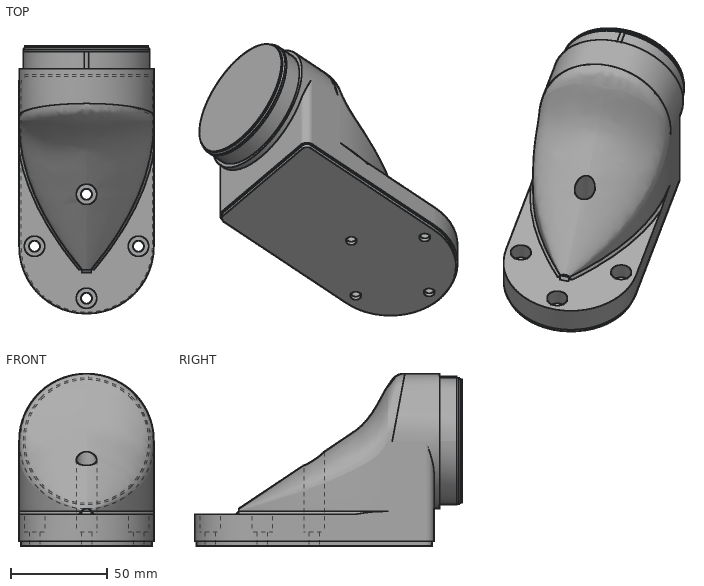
import cadquery as cq
import math

WIDTH = 70.0
HALF = WIDTH / 2
LENGTH = 139.0

GASKET_THICK = 2.5
GASKET_INSET = 1.0
FOOT_TOP = 16.5
BACK_Y = 89.2
BACK_CORNER = 4.2

AXIS_Z = 54.5
BARREL_BACK_Y = 92.2
NECK_RADIUS = 33.0
NECK_BACK_Y = 100.9
KEY_RADIUS = 1.3
KEY_RISE = 0.7

CAP_BACK_Y = LENGTH - HALF
CAP_LIP_RADIUS = 32.1
CAP_LIP_LENGTH = 1.0
CAP_BEVEL_LENGTH = 1.0

SHOULDER_START_Y = 74.1
SHOULDER_SIDE_Y = 67.5
SHOULDER_END_Y = 65.3
SHOULDER_DROP = 6.4
SHOULDER_POWER = 2.5
SHOULDER_STATIONS = 5

TIP_Y = -12.1
TIP_HALF_WIDTH = 2.4
TIP_CREST = 19.5
TIP_WALL_TOP = 18.3
WALL_POWER = 0.6
CREST_SLOPE = 2 / 3
SWEEP_START_Y = 47.3
SNOUT_STATIONS = 11
FLARE = 1.5
BEZIER_QUARTER = 4 / 3 * (math.sqrt(2) - 1)
TIP_CROWN_HANDLE = 0.1

SCREW_COUNT = 4
SCREW_CIRCLE = 27.0
SCREW_RADIUS = 2.8
HEAD_RADIUS = 5.3
HEAD_SEAT_Z = 7.4


def foot_outline(inset, bottom, top):
    """Foot shape between two heights: round front end, square back with rounded corners."""
    half = HALF - inset
    back = BACK_Y - inset
    return (
        cq.Workplane("XY", origin=(0, 0, bottom))
        .moveTo(-half, 0)
        .threePointArc((0, -half), (half, 0))
        .lineTo(half, back)
        .lineTo(-half, back)
        .close()
        .extrude(top - bottom)
        .edges("|Z and >Y")
        .fillet(BACK_CORNER - inset)
    )


def along_y(radius, y_start, y_end, z=AXIS_Z):
    """Cylinder parallel to Y."""
    return cq.Workplane("XZ", origin=(0, y_start, z)).circle(radius).extrude(y_start - y_end)


def stations(y_start, y_end, count):
    """Evenly spaced Y positions, ends included."""
    return [y_start + (y_end - y_start) * step / (count - 1) for step in range(count)]


def shoulder_crest(y):
    """Crest height over the shoulder, level where it leaves the barrel."""
    run = (SHOULDER_START_Y - y) / (SHOULDER_START_Y - SHOULDER_END_Y)
    return AXIS_Z + HALF - SHOULDER_DROP * run**SHOULDER_POWER


def snout_crest(y):
    """Straight slope up from the tip, with a parabolic sweep that meets the shoulder."""
    sweep_rise = shoulder_crest(SHOULDER_END_Y) - TIP_CREST - CREST_SLOPE * (SHOULDER_END_Y - TIP_Y)
    sweep = max(0.0, y - SWEEP_START_Y) / (SHOULDER_END_Y - SWEEP_START_Y)
    return TIP_CREST + CREST_SLOPE * (y - TIP_Y) + sweep_rise * sweep**2


def arch_half(side, crown, crown_handle):
    """Bezier quarter from the side up to a level crown; a shorter crown handle makes it more pointed."""
    pull = cq.Vector(0, crown.y - side.y, crown.z - side.z) * BEZIER_QUARTER
    reach = cq.Vector(side.x - crown.x, 0, 0) * crown_handle
    return cq.Edge.makeBezier([side, side + pull, crown + reach, crown])


def arched_wire(corners, crown, crown_handle):
    """Closed section: straight runs through the corners, right to left, under an arch to the crown."""
    edges = [cq.Edge.makeLine(start, end) for start, end in zip(corners, corners[1:])]
    edges += [arch_half(side, crown, crown_handle) for side in (corners[-1], corners[0])]
    return cq.Wire.assembleEdges(edges)


def shoulder_section(side_y, crown_y):
    """Half ellipse standing on the level of the barrel axis, its crown leaning back."""
    corners = [cq.Vector(HALF, side_y, AXIS_Z), cq.Vector(-HALF, side_y, AXIS_Z)]
    return arched_wire(corners, cq.Vector(0, crown_y, shoulder_crest(crown_y)), BEZIER_QUARTER)


def snout_section(y):
    """Flared foot, upright walls and an arch; parabolic in plan, lower and more pointed toward the tip."""
    run = (SHOULDER_END_Y - y) / (SHOULDER_END_Y - TIP_Y)
    half = HALF - (HALF - TIP_HALF_WIDTH) * run**2
    wall = AXIS_Z + (TIP_WALL_TOP - AXIS_Z) * run**WALL_POWER
    handle = BEZIER_QUARTER + (TIP_CROWN_HANDLE - BEZIER_QUARTER) * math.sqrt(run)
    right_side = [(half, wall), (half, FOOT_TOP + FLARE), (half + FLARE, FOOT_TOP)]
    left_side = [(-x, z) for x, z in reversed(right_side)]
    corners = [cq.Vector(x, y, z) for x, z in right_side + left_side]
    return arched_wire(corners, cq.Vector(0, y, snout_crest(y)), handle)


def make_shoulder():
    """Loft from the barrel's slanted front edge to the upright joint with the snout."""
    sides = stations(SHOULDER_SIDE_Y, SHOULDER_END_Y, SHOULDER_STATIONS)
    crowns = stations(SHOULDER_START_Y, SHOULDER_END_Y, SHOULDER_STATIONS)
    sections = [shoulder_section(side, crown) for side, crown in zip(sides, crowns)]
    return cq.Workplane(obj=cq.Solid.makeLoft(sections))


def make_snout():
    """Smooth loft to the tip, its flare trimmed to the sides of the foot."""
    sections = [snout_section(y) for y in stations(SHOULDER_END_Y, TIP_Y, SNOUT_STATIONS)]
    trim = cq.Workplane("XY").box(WIDTH, 2 * LENGTH, 2 * LENGTH)
    return cq.Workplane(obj=cq.Solid.makeLoft(sections)).intersect(trim)


def tip_flare():
    """Small wedge that carries the flare round the blunt tip."""
    return (
        cq.Workplane("YZ")
        .moveTo(TIP_Y, FOOT_TOP)
        .lineTo(TIP_Y - FLARE, FOOT_TOP)
        .lineTo(TIP_Y, FOOT_TOP + FLARE)
        .close()
        .extrude(TIP_HALF_WIDTH, both=True)
    )


def screw_cylinders(radius, bottom, height):
    """One upright cylinder at each screw position."""
    return (
        cq.Workplane("XY", origin=(0, 0, bottom))
        .polarArray(SCREW_CIRCLE, 0, 360, SCREW_COUNT)
        .circle(radius)
        .extrude(height)
    )


def make_pedestal():
    """Full-width block that carries the barrel, up to its axis."""
    depth = BACK_Y - SHOULDER_END_Y
    block = cq.Workplane("XY").box(WIDTH, depth, AXIS_Z, centered=(True, False, False))
    return foot_outline(0, GASKET_THICK, AXIS_Z).intersect(block.translate((0, SHOULDER_END_Y, 0)))


def make_barrel():
    """Barrel above and behind the pedestal, its upper half slanted back at the shoulder."""
    barrel = along_y(HALF, SHOULDER_SIDE_Y, BARREL_BACK_Y)
    front_waste = (
        cq.Workplane("YZ")
        .moveTo(SHOULDER_SIDE_Y, AXIS_Z)
        .lineTo(SHOULDER_START_Y, AXIS_Z + HALF)
        .lineTo(SHOULDER_START_Y, AXIS_Z + WIDTH)
        .lineTo(SHOULDER_SIDE_Y, AXIS_Z + WIDTH)
        .close()
        .extrude(WIDTH, both=True)
    )
    return barrel.cut(front_waste)


def make_housing():
    """Foot, barrel with keyed neck and the snout between them, drilled for the screws."""
    key_axis_z = AXIS_Z + NECK_RADIUS + KEY_RISE - KEY_RADIUS
    body = foot_outline(0, GASKET_THICK, FOOT_TOP)
    for feature in (
        make_pedestal(),
        make_barrel(),
        along_y(NECK_RADIUS, SHOULDER_START_Y, NECK_BACK_Y),
        along_y(KEY_RADIUS, SHOULDER_START_Y, NECK_BACK_Y, key_axis_z),
        make_shoulder(),
        make_snout(),
        tip_flare(),
    ):
        body = body.union(feature)
    shafts = screw_cylinders(SCREW_RADIUS, 0, HEAD_SEAT_Z)
    counterbores = screw_cylinders(HEAD_RADIUS, HEAD_SEAT_Z, AXIS_Z)
    return body.cut(shafts).cut(counterbores)


def make_base_gasket():
    """Thin plate under the foot, set in from its outline, with matching screw holes."""
    plate = foot_outline(GASKET_INSET, 0, GASKET_THICK)
    return plate.cut(screw_cylinders(SCREW_RADIUS, 0, GASKET_THICK))


def make_end_cap():
    """Disc closing the neck: full radius, a bevel, then a smaller lip."""
    lip_y = CAP_BACK_Y - CAP_LIP_LENGTH
    return (
        cq.Workplane("YZ", origin=(0, 0, AXIS_Z))
        .moveTo(NECK_BACK_Y, 0)
        .lineTo(NECK_BACK_Y, NECK_RADIUS)
        .lineTo(lip_y - CAP_BEVEL_LENGTH, NECK_RADIUS)
        .lineTo(lip_y, CAP_LIP_RADIUS)
        .lineTo(CAP_BACK_Y, CAP_LIP_RADIUS)
        .lineTo(CAP_BACK_Y, 0)
        .close()
        .revolve(360, (0, 0, 0), (1, 0, 0))
    )


housing = make_housing()
base_gasket = make_base_gasket()
end_cap = make_end_cap()
result = cq.Compound.makeCompound([housing.solids().val(), base_gasket.solids().val(), end_cap.solids().val()])